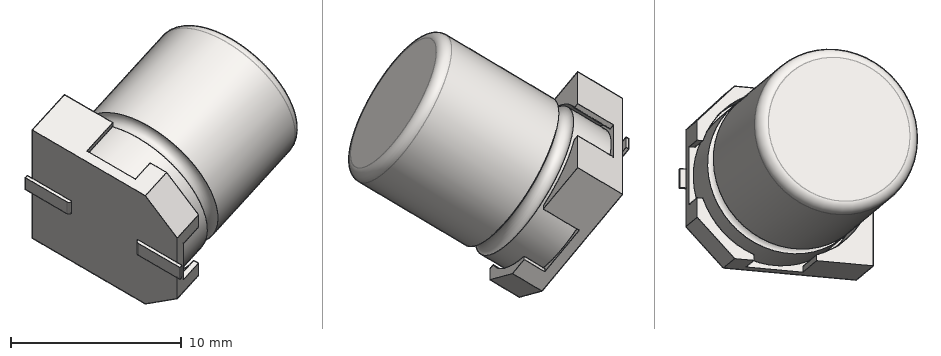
import cadquery as cq

total_height = 12.9
base_side = 10.5
lead_span = 11.2

floor_thickness = 0.65
tall_post_height = 3.21
short_post_height = 2.12
corner_cut = 2.31
notch_width = base_side / 3
seat_radius = 5.2

lead_thickness = 0.2
lead_width = 1.15
lead_length = 3.21
lead_end_radius = 0.19

can_radius = 5.0
can_edge_radius = 0.65
groove_radius = 0.53
groove_center_drop = 8.84

half_side = base_side / 2
can_top = total_height - lead_thickness
groove_center = can_top - groove_center_drop


def y_cylinder(radius, y_start, y_end):
    """Cylinder on the Y axis."""
    return cq.Workplane(cq.Solid.makeCylinder(
        radius, y_end - y_start, cq.Vector(0, y_start, 0), cq.Vector(0, 1, 0)))


def y_block(x_size, z_size, y_start, y_end, x_center=0):
    """Rectangular block between two Y levels, centred on Z = 0."""
    return (
        cq.Workplane("XY")
        .box(x_size, y_end - y_start, z_size)
        .translate((x_center, (y_start + y_end) / 2, 0))
    )


def make_base():
    base = y_block(base_side, base_side, 0, tall_post_height)
    base = base.edges("|Y and >X").chamfer(corner_cut)
    base = base.cut(y_block(half_side, base_side, short_post_height, tall_post_height, half_side / 2))
    for x_size, z_size in ((notch_width, base_side), (base_side, notch_width)):
        base = base.cut(y_block(x_size, z_size, floor_thickness, tall_post_height))
    return base.cut(y_cylinder(seat_radius, floor_thickness, tall_post_height))


def make_can():
    can = y_cylinder(can_radius, floor_thickness, can_top).faces(">Y").edges().fillet(can_edge_radius)
    groove = cq.Workplane(cq.Solid.makeTorus(
        can_radius, groove_radius, cq.Vector(0, groove_center, 0), cq.Vector(0, 1, 0)))
    return can.cut(groove)


def make_lead(side):
    """Flat lead under the base; side is -1 for -X and +1 for +X."""
    x_center = side * (lead_span - lead_length) / 2
    lead = y_block(lead_length, lead_width, -lead_thickness, 0, x_center)
    inner_end = "<X" if side > 0 else ">X"
    return lead.faces(inner_end).edges("<Y").fillet(lead_end_radius)


base = make_base()
can = make_can()
leads = [make_lead(side) for side in (-1, 1)]

result = cq.Compound.makeCompound([base.val(), can.val(), *[lead.val() for lead in leads]])